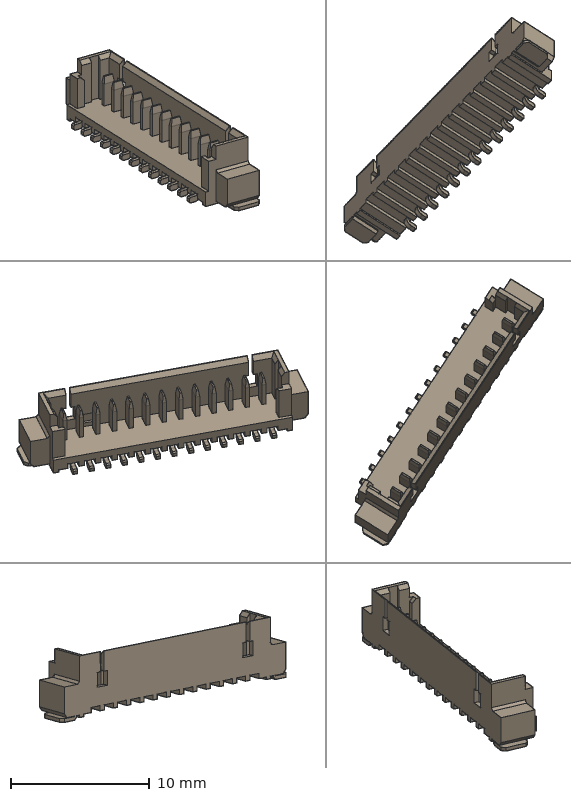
import cadquery as cq


pin_count = 13
pin_pitch = 1.25
pin_width = 0.32
pin_rear, pin_front = -0.68, -1.56
pin_shoulder_z, pin_tip_z = 3.02, 3.57
pin_tip_width = 0.13
pin_tip_inset = 0.09

tail_thickness = 0.45
tail_tip_y = -4.2
tail_inner_radius = 0.21
tail_rear_y = -3.3
tail_tip_bevel = 0.1

housing_half = 9.0
housing_top = 4.7
underside_z = 0.32
floor_z = 1.28
floor_front = -3.68
foot_z = 0.13
foot_width = 0.4
tail_notch_width = 0.83
tail_notch_top = 0.7

wall_front = -2.78
rear_wall_thickness = 0.4
cavity_half = 8.43
lead_in_depth = 0.32
lead_in_half = 8.69
rear_rim = 0.06
groove_rear, groove_front = -1.18, -1.93

post_half = 8.05
post_front = -3.42
post_top = 3.65
post_bevel = 0.32

slit_x = 5.5 * pin_pitch
slit_width = 0.36
window_width = 0.95
window_bottom, window_top = 2.12, 3.2

mark_x = -5.22
mark_width = 1.18
mark_bottom, mark_top = 1.6, 2.38
mark_depth = 0.2

ear_half = 10.46
ear_top = 2.63
ear_root_bevel = 0.2
ear_bottom_bevel_x, ear_bottom_bevel_z = 0.25, 0.32

clip_half = 10.7
clip_inner = 9.29
clip_front = -2.18
clip_top = 0.28
clip_corner = 0.25
clip_bend = 0.2


def block(x0, x1, y0, y1, z0, z1):
    """Box between two opposite corners, given in any order."""
    size = (abs(x1 - x0), abs(y1 - y0), abs(z1 - z0))
    centre = ((x0 + x1) / 2, (y0 + y1) / 2, (z0 + z1) / 2)
    return cq.Workplane("XY").box(*size).translate(centre)


def centred_block(x, width, y0, y1, z0, z1):
    return block(x - width / 2, x + width / 2, y0, y1, z0, z1)


def both_ends(body):
    """The body together with its mirror image at the other end of the row."""
    return body.union(body.mirror("YZ"))


def make_base():
    base = block(-housing_half, housing_half, 0, floor_front, underside_z, floor_z)
    foot = block(-housing_half, foot_width - housing_half, 0, floor_front, foot_z, floor_z)
    return base.union(both_ends(foot))


def make_lead_in():
    """Flared mouth of the cavity, widest at the top rim, open toward the front."""
    mouth_z = housing_top - lead_in_depth

    def section(half, rear, z):
        corners = [
            (-half, rear, z),
            (half, rear, z),
            (half, wall_front, z),
            (-half, wall_front, z),
        ]
        return cq.Wire.makePolygon([cq.Vector(*corner) for corner in corners], close=True)

    lower = section(cavity_half, -rear_wall_thickness, mouth_z)
    upper = section(lead_in_half, -rear_rim, housing_top)
    return cq.Workplane(cq.Solid.makeLoft([lower, upper], True))


def make_shroud():
    shroud = block(-housing_half, housing_half, 0, wall_front, floor_z, housing_top)
    cavity = block(-cavity_half, cavity_half, -rear_wall_thickness, wall_front, floor_z, housing_top)
    grooves = block(-lead_in_half, lead_in_half, groove_rear, groove_front, floor_z, housing_top)
    return shroud.cut(cavity).cut(make_lead_in()).cut(grooves)


def make_post():
    """Left corner post: an outer strip, and an inner part bevelled at its rear top edge."""
    outer = block(-housing_half, -cavity_half, wall_front, post_front, floor_z, post_top)
    profile = [
        (wall_front, floor_z),
        (wall_front, post_top - post_bevel),
        (wall_front - post_bevel, post_top),
        (post_front, post_top),
        (post_front, floor_z),
    ]
    inner = cq.Workplane("YZ", origin=(-cavity_half, 0, 0)).polyline(profile).close()
    return outer.union(inner.extrude(cavity_half - post_half))


def make_rear_opening():
    slit = centred_block(-slit_x, slit_width, 0, -rear_wall_thickness, window_top, housing_top)
    window = centred_block(-slit_x, window_width, 0, -rear_wall_thickness, window_bottom, window_top)
    return slit.union(window)


def make_mark_recess():
    inner_face = -rear_wall_thickness
    return centred_block(mark_x, mark_width, inner_face, inner_face + mark_depth, mark_bottom, mark_top)


def make_ear():
    profile = [
        (-housing_half, underside_z),
        (-ear_half + ear_bottom_bevel_x, underside_z),
        (-ear_half, underside_z + ear_bottom_bevel_z),
        (-ear_half, ear_top),
        (-housing_half - ear_root_bevel, ear_top),
        (-housing_half, ear_top + ear_root_bevel),
    ]
    return cq.Workplane("XZ").polyline(profile).close().extrude(-wall_front)


def make_clip():
    """Flat tab with cut outer corners, its inner end bent up into the ear."""
    tab = block(-clip_half, -clip_inner, 0, clip_front, 0, clip_top)
    tab = tab.edges("|Z and <X").chamfer(clip_corner)
    tab = tab.edges("|Y and >X and <Z").chamfer(clip_bend)
    riser = block(-clip_inner - clip_bend, -clip_inner, 0, clip_front, clip_bend, underside_z)
    return tab.union(riser)


def make_pin(x):
    length = pin_rear - pin_front
    shank = centred_block(x, pin_width, pin_rear, pin_front, floor_z, pin_shoulder_z)
    tip = (
        cq.Workplane("XY", origin=(x, (pin_rear + pin_front) / 2, pin_shoulder_z))
        .rect(pin_width, length)
        .workplane(offset=pin_tip_z - pin_shoulder_z)
        .rect(pin_tip_width, length - 2 * pin_tip_inset)
        .loft()
    )
    return shank.union(tip)


def make_tail(x):
    """Lead that leaves the base downward and bends forward onto the mounting plane."""
    bend_front = floor_front + tail_inner_radius
    tail = (
        cq.Workplane("YZ", origin=(x - pin_width / 2, 0, 0))
        .moveTo(tail_rear_y, floor_z)
        .lineTo(tail_rear_y, tail_thickness)
        .radiusArc((tail_rear_y - tail_thickness, 0), tail_thickness)
        .lineTo(tail_tip_y, 0)
        .lineTo(tail_tip_y, tail_thickness)
        .lineTo(floor_front, tail_thickness)
        .radiusArc((bend_front, tail_thickness + tail_inner_radius), -tail_inner_radius)
        .lineTo(bend_front, floor_z)
        .close()
        .extrude(pin_width)
    )
    return tail.edges("|X and <Y").chamfer(tail_tip_bevel)


def make_tail_notch(x):
    return centred_block(x, tail_notch_width, 0, floor_front, 0, tail_notch_top)


pin_positions = [(i - (pin_count - 1) / 2) * pin_pitch for i in range(pin_count)]

result = make_base().union(make_shroud()).union(both_ends(make_post()))
result = result.cut(both_ends(make_rear_opening())).cut(make_mark_recess())
result = result.union(both_ends(make_ear())).union(both_ends(make_clip()))
for pin_x in pin_positions:
    result = result.cut(make_tail_notch(pin_x))
for pin_x in pin_positions:
    result = result.union(make_pin(pin_x)).union(make_tail(pin_x))